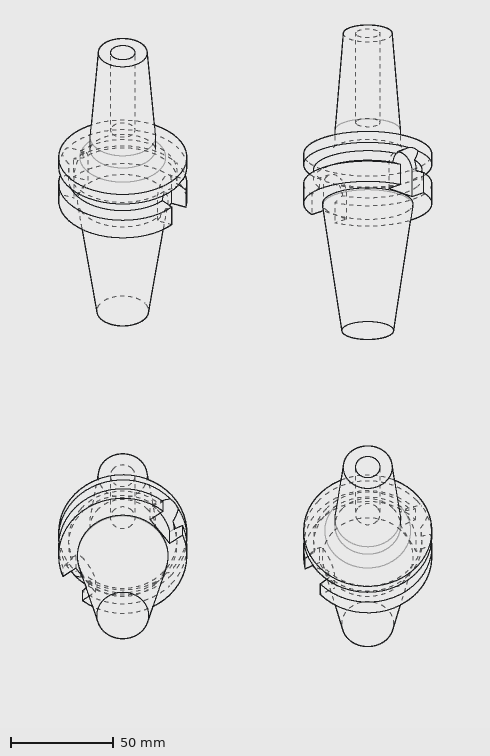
import cadquery as cq

TOTAL_HEIGHT = 155.4
SHANK_HEIGHT = 65.5
FLANGE_BOTTOM = 66.4
FLANGE_TOP = 92.5
GROOVE_LOWER_EDGE = 77.0
GROOVE_FLOOR_BOTTOM = 79.3
GROOVE_FLOOR_TOP = 84.2
GROOVE_UPPER_EDGE = 86.7
NOSE_CONE_BOTTOM = 104.7

SHANK_END_RADIUS = 25.5 / 2
SHANK_LARGE_RADIUS = 44.5 / 2
FLANGE_RADIUS = 63.0 / 2
GROOVE_RADIUS = 53.1 / 2
NOSE_BASE_RADIUS = 32.2 / 2
NOSE_TIP_RADIUS = 24.1 / 2
NOSE_FILLET = 5.0

BORE_DIAMETER = 12.0
BORE_DEPTH = 46.6

SLOT_FLOOR = 22.5
SLOT_WIDTH = 16.2
SLOT_TOP = 87.3


def turned_body():
    """Tapered shank, grooved flange and conical nose, revolved about Z."""
    fillet_side = NOSE_FILLET * (1 - 0.5**0.5)
    profile = (
        cq.Workplane("XZ")
        .lineTo(SHANK_END_RADIUS, 0)
        .lineTo(SHANK_LARGE_RADIUS, SHANK_HEIGHT)
        .lineTo(SHANK_LARGE_RADIUS, FLANGE_BOTTOM)
        .lineTo(FLANGE_RADIUS, FLANGE_BOTTOM)
        .lineTo(FLANGE_RADIUS, GROOVE_LOWER_EDGE)
        .lineTo(GROOVE_RADIUS, GROOVE_FLOOR_BOTTOM)
        .lineTo(GROOVE_RADIUS, GROOVE_FLOOR_TOP)
        .lineTo(FLANGE_RADIUS, GROOVE_UPPER_EDGE)
        .lineTo(FLANGE_RADIUS, FLANGE_TOP)
        .lineTo(NOSE_BASE_RADIUS + NOSE_FILLET, FLANGE_TOP)
        .threePointArc(
            (NOSE_BASE_RADIUS + fillet_side, FLANGE_TOP + fillet_side),
            (NOSE_BASE_RADIUS, FLANGE_TOP + NOSE_FILLET),
        )
        .lineTo(NOSE_BASE_RADIUS, NOSE_CONE_BOTTOM)
        .lineTo(NOSE_TIP_RADIUS, TOTAL_HEIGHT)
        .lineTo(0, TOTAL_HEIGHT)
        .close()
    )
    return profile.revolve(360, (0, 0, 0), (0, 1, 0))


def tool_bore():
    """Blind bore running down from the nose tip."""
    return (
        cq.Workplane("XY", origin=(0, 0, TOTAL_HEIGHT))
        .circle(BORE_DIAMETER / 2)
        .extrude(-BORE_DEPTH)
    )


def drive_slot(side):
    """Round-ended slot, open at the flange underside, on the +X (1) or -X (-1) side."""
    half_width = SLOT_WIDTH / 2
    arc_start = SLOT_TOP - half_width
    return (
        cq.Workplane("YZ", origin=(side * SLOT_FLOOR, 0, 0))
        .moveTo(-half_width, FLANGE_BOTTOM)
        .lineTo(half_width, FLANGE_BOTTOM)
        .lineTo(half_width, arc_start)
        .threePointArc((0, SLOT_TOP), (-half_width, arc_start))
        .close()
        .extrude(side * FLANGE_RADIUS)
    )


result = turned_body().cut(tool_bore())
for slot_side in (-1, 1):
    result = result.cut(drive_slot(slot_side))